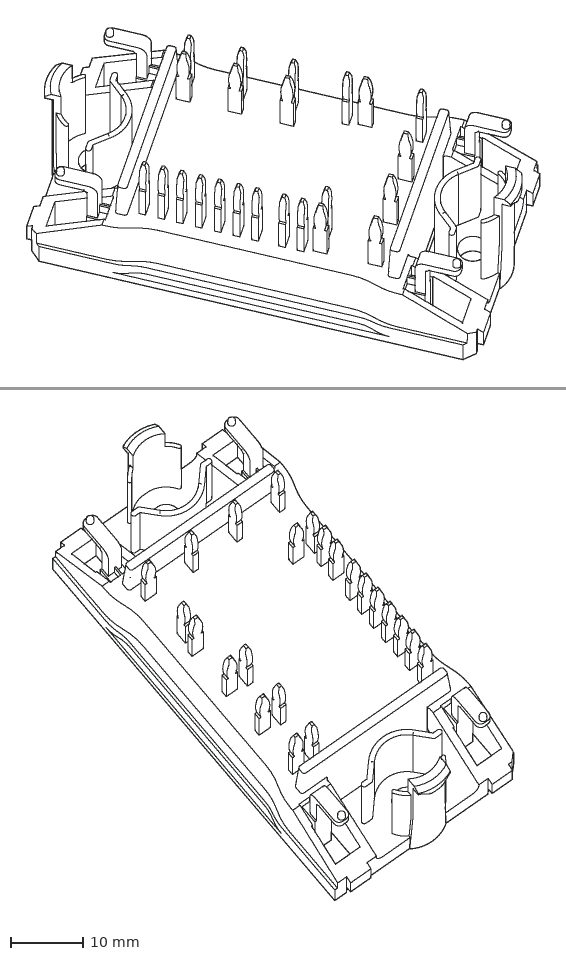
import cadquery as cq
import math

base_length = 64.15
base_width = 32.5
base_height = 3.5
corner_chamfer = 1.5
body_width = 31.5
body_waist = 29.0
body_top = 11.1
body_draft = 1.3
end_overrun = 0.7
waist_start = 21.15
waist_end = 13.9

slope_top_x = 21.7
slope_low_x = 33.0
slope_low_z = 4.6

groove_start = 19.9
groove_end = 15.3
groove_depth = 0.6
groove_outer_z = 1.45
groove_inner_z = 2.0

channel_half_width = 8.95
channel_fillet = 1.2
channel_corner_radius = 0.55
end_wall_x = 20.5
slot_width = 1.1
slot_length = 17.5
hole_x = 27.35
hole_diameter = 4.25

corner_y = 12.4
pocket_outer_x = 30.0
pocket_inner_x = 21.5
pocket_width = 4.3
rail_thickness = 0.2
rail_outer_x = 24.55
tab_outer_x = 33.0
tab_width = 3.55
tab_bottom = 1.65
tab_recess_depth = 0.3
arm_outer_x = 29.3
arm_back_x = 22.9
arm_width = 2.3
arm_foot_width = 2.9
arm_foot_top = 9.6
arm_top = 16.5
arm_thickness = 1.15
post_thickness = 1.5
arm_bend_radius = 1.4
arm_inner_chamfer = 0.5
arm_tip_radius = 0.9
bump_x = 28.6
bump_diameter = 1.1
bump_top = 17.5
bump_rounding = 0.4
rib_thickness = 0.3

ridge_foot = (1.7, 26.25)
ridge_crest = (1.4, 25.3)
ridge_x = end_wall_x - ridge_foot[0] / 2
ridge_top = 16.7
ridge_corner_radius = 0.4

clip_inner_radius = 4.8
wing_outer_radius = 5.4
wing_top = 16.7
wing_angle = 58.0
clip_outer_radius = 5.75
clip_foot_width = 6.35
clip_taper_top = 9.9
clip_width = 5.6
clip_top = 20.8
lip_radius = 6.85
lip_crest_radius = 6.0
lip_edge_top = 20.0
lip_side_bottom = 19.55
lip_side_width = 4.5
lip_bottom = 18.55
lip_bottom_width = 2.05
guard_inner_radius = 4.5
guard_outer_radius = 5.35
guard_top = 15.45
guard_angle = 48.0
guard_leg_x = 1.15
guard_leg_low = 5.6
guard_leg_high = 6.6

pin_embedding = 0.7
pin_width = 2.0
pin_thickness = 0.95
pin_shoulder_z = 16.5
pin_neck = 1.3
pin_bulge = 1.8
pin_bulge_z = 18.5
pin_bulge_top = 20.4
pin_tip_base = 20.8
pin_tip_base_width = 1.0
pin_top = 21.75
pin_tip_width = 0.6
pin_tip_thickness = 0.4

pin_row_y = 11.3
pins_along_y = [(x, -pin_row_y) for x in (-16.8, -14.1, -11.4, -8.7, -5.95, -3.2, -0.55, 3.35, 6.0)]
pins_along_y += [(x, pin_row_y) for x in (-16.8, -9.2, -1.8, 6.0, 16.7)]
pins_along_y += [(8.7, -8.4)]
pins_along_x = [(x, 8.5) for x in (-16.75, -9.3, -1.8)]
pins_along_x += [(16.6, y) for y in (-pin_row_y, -3.8, 3.8)]
pins_along_x += [(8.7, -pin_row_y), (8.7, pin_row_y)]


def box(x0, x1, y0, y1, z0, z1):
    """Box between two opposite corners."""
    return cq.Workplane("XY").box(x1 - x0, y1 - y0, z1 - z0, centered=False).translate((x0, y0, z0))


def both_ends(shape):
    """The shape together with its mirror image at the other end."""
    return shape.union(shape.mirror("YZ"))


def at_corners(shape):
    """A shape built at -X, +Y, repeated at all four corners."""
    return both_ends(shape.union(shape.mirror("XZ")))


def s_curve(outline, start, end):
    """Add two equal arcs that leave start and reach end parallel to X."""
    middle = ((start[0] + end[0]) / 2, (start[1] + end[1]) / 2)
    run = middle[0] - start[0]
    rise = middle[1] - start[1]
    radius = (run**2 + rise**2) / (2 * abs(rise))
    half_turn = math.asin(abs(run) / radius) / 2
    along = math.copysign(radius * math.sin(half_turn), run)
    across = math.copysign(radius * (1 - math.cos(half_turn)), rise)
    return (
        outline.threePointArc((start[0] + along, start[1] + across), middle)
        .threePointArc((end[0] - along, end[1] - across), end)
    )


def make_base():
    plate = cq.Workplane("XY").rect(base_length, base_width).extrude(base_height)
    half_width = base_width / 2
    inner_y = half_width - groove_depth
    plan = cq.Workplane("XY").moveTo(-groove_start, half_width)
    plan = s_curve(plan, (-groove_start, half_width), (-groove_end, inner_y)).lineTo(groove_end, inner_y)
    plan = s_curve(plan, (groove_end, inner_y), (groove_start, half_width)).close()
    section = (
        cq.Workplane("YZ")
        .polyline([
            (half_width, groove_outer_z),
            (inner_y, groove_inner_z),
            (inner_y, base_height),
            (half_width, base_height),
        ])
        .close()
        .extrude(groove_start, both=True)
    )
    groove = plan.extrude(base_height).intersect(section)
    return plate.cut(groove).cut(groove.mirror("XZ"))


def make_upper_body():
    """Upper body with drafted, waisted long sides and upright ends."""
    wide = body_width / 2
    waist = body_waist / 2
    end_x = base_length / 2
    long_x = end_x + end_overrun
    height = body_top - base_height
    plan = cq.Workplane("XY").moveTo(-long_x, -wide).lineTo(-waist_start, -wide)
    plan = s_curve(plan, (-waist_start, -wide), (-waist_end, -waist)).lineTo(waist_end, -waist)
    plan = s_curve(plan, (waist_end, -waist), (waist_start, -wide)).lineTo(long_x, -wide)
    plan = plan.lineTo(long_x, wide).lineTo(waist_start, wide)
    plan = s_curve(plan, (waist_start, wide), (waist_end, waist)).lineTo(-waist_end, waist)
    plan = s_curve(plan, (-waist_end, waist), (-waist_start, wide)).lineTo(-long_x, wide).close()
    body = plan.extrude(height, taper=body_draft).translate((0, 0, base_height))
    return body.intersect(box(-end_x, end_x, -wide, wide, base_height, body_top))


def make_tab():
    """Tab on the end face; its top is cut later with the end slope."""
    half_width = tab_width / 2
    return box(
        -tab_outer_x, -base_length / 2, corner_y - half_width, corner_y + half_width, tab_bottom, body_top
    )


def make_tab_recess():
    """Shallow recess in the end face below a tab."""
    end_x = base_length / 2
    half_width = tab_width / 2
    return box(
        -end_x, -end_x + tab_recess_depth, corner_y - half_width, corner_y + half_width, 0, tab_bottom
    )


def make_slope_cut():
    """Wedge above the sloping end of the body."""
    return (
        cq.Workplane("XZ")
        .polyline([
            (-slope_top_x, body_top),
            (-slope_low_x, slope_low_z),
            (-slope_low_x, body_top),
        ])
        .close()
        .extrude(base_width, both=True)
    )


def make_corner_cut():
    """Chamfer wedge for the -X, -Y corner."""
    end_x = base_length / 2
    side_y = base_width / 2
    return (
        cq.Workplane("XY")
        .polyline([
            (-end_x, -side_y),
            (-end_x + corner_chamfer, -side_y),
            (-end_x, -side_y + corner_chamfer),
        ])
        .close()
        .extrude(body_top)
    )


def make_channel():
    """Open channel around the screw, with the slot and the screw hole."""
    channel = box(
        -tab_outer_x, -end_wall_x, -channel_half_width, channel_half_width, base_height, body_top
    )
    channel = channel.edges("|Z and >X").fillet(channel_corner_radius)
    channel = channel.edges("|X and <Z").fillet(channel_fillet)
    slot = box(
        -end_wall_x - slot_width, -end_wall_x, -slot_length / 2, slot_length / 2, 0, body_top
    )
    hole = cq.Workplane("XY").center(-hole_x, 0).circle(hole_diameter / 2).extrude(body_top)
    return channel.union(slot).union(hole)


def make_pocket(center_y):
    """Through pocket with a thin rail on its +Y wall beside the arm."""
    top_y = center_y + pocket_width / 2
    pocket = box(-pocket_outer_x, -pocket_inner_x, center_y - pocket_width / 2, top_y, 0, body_top)
    rail = box(-rail_outer_x, -pocket_inner_x, top_y - rail_thickness, top_y, 0, body_top)
    return pocket.cut(rail)


def make_arm():
    """Bent contact arm with its foot, the rib behind it and the bump at its tip."""
    post_front_x = arm_back_x + post_thickness
    arm = (
        cq.Workplane("XZ")
        .moveTo(-arm_back_x, 0)
        .lineTo(-arm_back_x, arm_top - arm_bend_radius)
        .radiusArc((-arm_back_x - arm_bend_radius, arm_top), -arm_bend_radius)
        .lineTo(-arm_outer_x, arm_top)
        .lineTo(-arm_outer_x, arm_top - arm_thickness)
        .lineTo(-post_front_x - arm_inner_chamfer, arm_top - arm_thickness)
        .lineTo(-post_front_x, arm_top - arm_thickness - arm_inner_chamfer)
        .lineTo(-post_front_x, 0)
        .close()
        .extrude(arm_width / 2, both=True)
        .edges("|Z and <X")
        .fillet(arm_tip_radius)
    )
    foot = box(-post_front_x, -pocket_inner_x, -arm_foot_width / 2, arm_foot_width / 2, 0, arm_foot_top)
    rib = box(-arm_back_x, -pocket_inner_x, -rib_thickness / 2, rib_thickness / 2, 0, body_top)
    bump = (
        cq.Workplane("XY", origin=(-bump_x, 0, arm_top - arm_thickness / 2))
        .circle(bump_diameter / 2)
        .extrude(bump_top - arm_top + arm_thickness / 2)
        .faces(">Z")
        .fillet(bump_rounding)
    )
    return arm.union(foot).union(rib).union(bump).translate((0, corner_y, 0))


def make_ridge():
    return (
        cq.Workplane("XY", origin=(-ridge_x, 0, body_top))
        .rect(*ridge_foot)
        .workplane(offset=ridge_top - body_top)
        .rect(*ridge_crest)
        .loft()
        .edges("not(#Z)")
        .fillet(ridge_corner_radius)
    )


def ring_sector(inner, outer, half_angle, height):
    """Upright wall on a ring, centred on +X and spanning half_angle degrees to each side."""
    angle = math.radians(half_angle)
    middle_y = math.sin(angle)
    middle_x = math.cos(angle)
    return (
        cq.Workplane("XY")
        .moveTo(inner * middle_x, -inner * middle_y)
        .threePointArc((inner, 0), (inner * middle_x, inner * middle_y))
        .lineTo(outer * middle_x, outer * middle_y)
        .threePointArc((outer, 0), (outer * middle_x, -outer * middle_y))
        .close()
        .extrude(height)
    )


def revolved(profile):
    """Turn a closed (radius, Z) profile around the Z axis."""
    return cq.Workplane("XZ").polyline(profile).close().revolve(360, (0, 0, 0), (0, 1, 0))


def symmetric_prism(half_outline):
    """Prism along +X whose (Y, Z) outline is mirrored about Y = 0."""
    other_half = [(-y, z) for y, z in reversed(half_outline)]
    return cq.Workplane("YZ").polyline(half_outline + other_half).close().extrude(lip_radius)


def make_clip():
    """Tall hooked clip outside the screw hole, with lower wings on both sides."""
    wings = ring_sector(clip_inner_radius, wing_outer_radius, wing_angle, wing_top)
    middle_radius = (clip_inner_radius + wing_outer_radius) / 2
    wing_end = (
        cq.Workplane("XY")
        .center(middle_radius, 0)
        .circle((wing_outer_radius - clip_inner_radius) / 2)
        .extrude(wing_top)
    )
    for angle in (-wing_angle, wing_angle):
        wings = wings.union(wing_end.rotate((0, 0, 0), (0, 0, 1), angle))
    column = revolved([
        (clip_inner_radius, 0),
        (clip_outer_radius, 0),
        (clip_outer_radius, clip_top),
        (clip_inner_radius, clip_top),
    ]).intersect(symmetric_prism([
        (clip_foot_width / 2, 0),
        (clip_width / 2, clip_taper_top),
        (clip_width / 2, clip_top),
    ]))
    lip = revolved([
        (clip_inner_radius, lip_bottom),
        (lip_radius, lip_bottom),
        (lip_radius, lip_edge_top),
        (lip_crest_radius, clip_top),
        (clip_inner_radius, clip_top),
    ]).intersect(symmetric_prism([
        (lip_bottom_width / 2, lip_bottom),
        (lip_side_width / 2, lip_side_bottom),
        (clip_width / 2, lip_side_bottom),
        (clip_width / 2, clip_top),
    ]))
    clip = wings.union(column).union(lip)
    return clip.mirror("YZ").translate((-hole_x, 0, 0))


def wall_between(start, end, thickness, height):
    """Upright straight wall between two points in plan."""
    run = end[0] - start[0]
    rise = end[1] - start[1]
    return (
        cq.Workplane("XY")
        .rect(math.hypot(run, rise), thickness)
        .extrude(height)
        .rotate((0, 0, 0), (0, 0, 1), math.degrees(math.atan2(rise, run)))
        .translate(((start[0] + end[0]) / 2, (start[1] + end[1]) / 2, 0))
    )


def make_guard():
    """Thin wall around the inner side of the screw hole, with flared legs."""
    radius = (guard_inner_radius + guard_outer_radius) / 2
    thickness = guard_outer_radius - guard_inner_radius
    height = guard_top - base_height
    angle = math.radians(guard_angle)
    arc_end = (radius * math.cos(angle), radius * math.sin(angle))
    knee = (guard_leg_x, guard_leg_low)
    tip = (guard_leg_x, guard_leg_high)
    side = wall_between(arc_end, knee, thickness, height).union(wall_between(knee, tip, thickness, height))
    for point in (knee, tip):
        side = side.union(cq.Workplane("XY").center(*point).circle(thickness / 2).extrude(height))
    guard = ring_sector(guard_inner_radius, guard_outer_radius, guard_angle, height)
    guard = guard.union(side).union(side.mirror("XZ"))
    return guard.translate((-hole_x, 0, base_height))


def make_pin():
    """Flat pin with its blade along X: shoulder, bulged press-fit zone and tapered tip."""
    foot = body_top - pin_embedding
    blade = (
        cq.Workplane("XZ")
        .moveTo(-pin_width / 2, foot)
        .lineTo(-pin_width / 2, pin_shoulder_z)
        .lineTo(-pin_neck / 2, pin_shoulder_z)
        .threePointArc((-pin_bulge / 2, pin_bulge_z), (-pin_neck / 2, pin_bulge_top))
        .lineTo(-pin_tip_base_width / 2, pin_tip_base)
        .lineTo(-pin_tip_width / 2, pin_top)
        .lineTo(pin_tip_width / 2, pin_top)
        .lineTo(pin_tip_base_width / 2, pin_tip_base)
        .lineTo(pin_neck / 2, pin_bulge_top)
        .threePointArc((pin_bulge / 2, pin_bulge_z), (pin_neck / 2, pin_shoulder_z))
        .lineTo(pin_width / 2, pin_shoulder_z)
        .lineTo(pin_width / 2, foot)
        .close()
        .extrude(pin_thickness, both=True)
    )
    side = (
        cq.Workplane("YZ")
        .polyline([
            (-pin_thickness / 2, foot),
            (-pin_thickness / 2, pin_tip_base),
            (-pin_tip_thickness / 2, pin_top),
            (pin_tip_thickness / 2, pin_top),
            (pin_thickness / 2, pin_tip_base),
            (pin_thickness / 2, foot),
        ])
        .close()
        .extrude(pin_width, both=True)
    )
    return blade.intersect(side)


result = make_base().union(make_upper_body()).union(at_corners(make_tab()))
result = result.cut(at_corners(make_tab_recess()))
result = result.cut(both_ends(make_slope_cut()))
result = result.cut(both_ends(make_corner_cut()))
result = result.cut(both_ends(make_channel()))
result = result.cut(both_ends(make_pocket(corner_y).union(make_pocket(-corner_y))))

result = result.union(at_corners(make_arm()))
result = result.union(both_ends(make_ridge()))
result = result.union(both_ends(make_clip()))
result = result.union(both_ends(make_guard()))

pin_along_x = make_pin()
pin_along_y = pin_along_x.rotate((0, 0, 0), (0, 0, 1), 90)
for x, y in pins_along_x:
    result = result.union(pin_along_x.translate((x, y, 0)))
for x, y in pins_along_y:
    result = result.union(pin_along_y.translate((x, y, 0)))